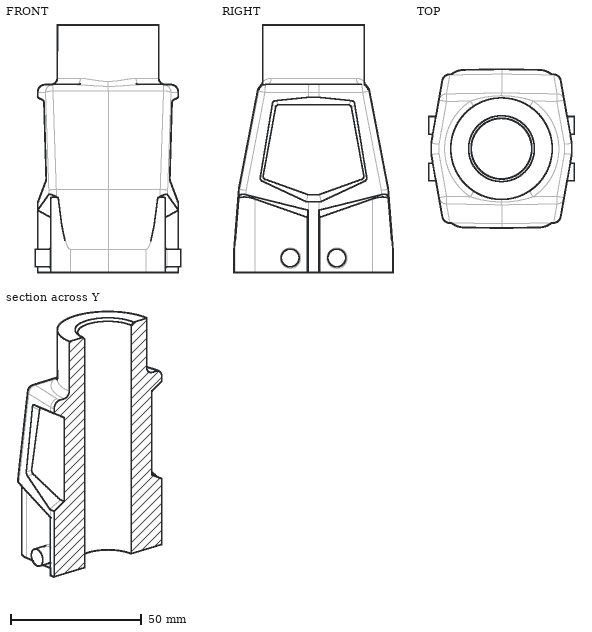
import cadquery as cq
import math

TOTAL_HEIGHT = 95.0
BODY_TOP = 72.1
END_TAPER_START = 9.0
END_TAPER_BREAK = 32.0

BASE_HALF_X = 22.0
BASE_HALF_Y = 30.5
BASE_CORNER_RADIUS = 7.7
BASE_TOP = 31.35
SHELL_BOTTOM = 11.4

BREAK_HALF_Y = 28.7
TOP_HALF_Y = 21.0
END_RIDGE_ANGLE = 1.0

RIDGE_HALF_X = 27.0
RIDGE_HALF_WIDTH = 2.1
RIB_DRAFT = 3.0
SIDE_ANGLE = 10.0
SHELL_RADIUS = 2.9

DRAFT_ANGLE = 30.0
UNDERCUT_MIDDLE_Z = 20.3
UNDERCUT_SLOPE = 0.35

RECESS_FLOOR_X = BASE_HALF_X
RECESS_TOP_Z = 64.3
RECESS_TOP_HALF_Y = 14.3
RECESS_CORNER_Z = 36.1
RECESS_CORNER_HALF_Y = 19.5
RECESS_BOTTOM_Z = 29.9
RECESS_BOTTOM_HALF_Y = 2.3
RECESS_CORNER_RADIUS = 1.5

NECK_RADIUS = 19.5
NECK_FILLET = 2.5
BORE_RADIUS = 11.6
BORE_CHAMFER = 1.0

PIN_RADIUS = 3.4
PIN_SPAN = 56.0
PIN_Y = 8.9
PIN_Z = 5.6
PIN_FILLET = 0.5

MARGIN = 9.5
RECESS_OVERSHOOT = 0.95
TOLERANCE = 0.01

end_slope = math.tan(math.radians(END_RIDGE_ANGLE))
side_slope = math.tan(math.radians(SIDE_ANGLE))
draft_slope = math.tan(math.radians(DRAFT_ANGLE))
rib_slope = math.tan(math.radians(RIB_DRAFT))
tool_reach = RIDGE_HALF_X + MARGIN


def sheared_prism(points, vector):
    """Extrude a closed polygon along any direction."""
    wire = cq.Wire.makePolygon([cq.Vector(*p) for p in points], close=True)
    return cq.Workplane(cq.Solid.extrudeLinear(wire, [], cq.Vector(*vector)))


def cut_end_walls(body):
    """Trim both ends to leaning walls with a faint vertical ridge in the middle."""
    slope = (BREAK_HALF_Y - TOP_HALF_Y) / (BODY_TOP - END_TAPER_BREAK)
    above = BODY_TOP + MARGIN
    outside = BASE_HALF_Y + MARGIN
    profile = [
        (0, BASE_HALF_Y, END_TAPER_START),
        (0, BREAK_HALF_Y, END_TAPER_BREAK),
        (0, TOP_HALF_Y - slope * MARGIN, above),
        (0, outside, above),
        (0, outside, END_TAPER_START),
    ]
    right = sheared_prism(profile, (tool_reach, -tool_reach * end_slope, 0))
    left = right.mirror("YZ")
    for tool in (right, left):
        body = body.cut(tool).cut(tool.mirror("XZ"))
    return body


def make_base():
    """Base block with rounded vertical corners."""
    corner_y = BASE_HALF_Y - BASE_HALF_X * end_slope
    outline = [
        (0, BASE_HALF_Y),
        (BASE_HALF_X, corner_y),
        (BASE_HALF_X, -corner_y),
        (0, -BASE_HALF_Y),
        (-BASE_HALF_X, -corner_y),
        (-BASE_HALF_X, corner_y),
    ]
    block = cq.Workplane("XY").polyline(outline).close().extrude(BASE_TOP)
    block = block.edges("|Z and (>X or <X)").fillet(BASE_CORNER_RADIUS)
    return cut_end_walls(block)


def make_shell():
    """Upper shell: ridged sides, leaning ends and rounded corners."""
    end_x = RIDGE_HALF_X - (BASE_HALF_Y - RIDGE_HALF_WIDTH) * side_slope
    quarter = [(RIDGE_HALF_X, RIDGE_HALF_WIDTH), (end_x, BASE_HALF_Y)]
    outline = quarter + [(-x, y) for x, y in reversed(quarter)]
    outline += [(-x, -y) for x, y in outline]
    shell = cq.Workplane("XY").workplane(offset=SHELL_BOTTOM).polyline(outline).close()
    shell = cut_end_walls(shell.extrude(BODY_TOP - SHELL_BOTTOM))

    def is_corner(edge):
        middle = edge.Center()
        return abs(middle.x) > RIDGE_HALF_X / 2 and abs(middle.y) > 2 * RIDGE_HALF_WIDTH

    corners = shell.edges("not #Z").filter(is_corner)
    return shell.faces(">Z").edges().add(corners).fillet(SHELL_RADIUS)


def cut_undercut(shell):
    """Remove the shell below two drafted planes on each side, meeting in a V."""
    end_y = BASE_HALF_Y + MARGIN
    end_z = UNDERCUT_MIDDLE_Z + UNDERCUT_SLOPE * end_y
    inner_drop = BASE_HALF_X * draft_slope
    profile = [
        (0, end_y, end_z - inner_drop),
        (0, 0, UNDERCUT_MIDDLE_Z - inner_drop),
        (0, -end_y, end_z - inner_drop),
        (0, -end_y, -TOTAL_HEIGHT),
        (0, end_y, -TOTAL_HEIGHT),
    ]
    tool = sheared_prism(profile, (tool_reach, 0, tool_reach * draft_slope))
    return shell.cut(tool).cut(tool.mirror("YZ"))


def make_rib():
    """Bar across the base that carries both side ridges down to the mating face."""
    root_half_width = RIDGE_HALF_WIDTH + (RIDGE_HALF_X - BASE_HALF_X) * rib_slope
    half = [
        (RIDGE_HALF_X, RIDGE_HALF_WIDTH),
        (BASE_HALF_X, root_half_width),
        (-BASE_HALF_X, root_half_width),
        (-RIDGE_HALF_X, RIDGE_HALF_WIDTH),
    ]
    outline = half + [(x, -y) for x, y in reversed(half)]
    return cq.Workplane("XY").polyline(outline).close().extrude(BASE_TOP)


def make_recess():
    """Tool for the recess in the +X side, its walls opening outwards."""
    half = [
        (RECESS_TOP_HALF_Y, RECESS_TOP_Z),
        (RECESS_CORNER_HALF_Y, RECESS_CORNER_Z),
        (RECESS_BOTTOM_HALF_Y, RECESS_BOTTOM_Z),
    ]
    outline = half + [(-y, z) for y, z in reversed(half)]
    depth = RIDGE_HALF_X - RECESS_FLOOR_X + RECESS_OVERSHOOT
    mouth = cq.Workplane("YZ", origin=(RECESS_FLOOR_X + depth, 0, 0)).polyline(outline).close()
    mouth = mouth.offset2D(depth * draft_slope, "intersection")
    tool = mouth.extrude(-depth, taper=DRAFT_ANGLE)

    def is_outer_corner(edge):
        return abs(edge.Center().y) > 2 * RECESS_BOTTOM_HALF_Y

    return tool.edges("not #X").filter(is_outer_corner).fillet(RECESS_CORNER_RADIUS)


def add_neck(body):
    """Round neck, filleted into the body top and its rounded edges."""
    neck = cq.Workplane("XY").workplane(offset=BASE_TOP).circle(NECK_RADIUS)
    body = body.union(neck.extrude(TOTAL_HEIGHT - BASE_TOP))

    def is_neck_root(edge):
        end = edge.startPoint()
        on_neck = abs(math.hypot(end.x, end.y) - NECK_RADIUS) < TOLERANCE
        near_body_top = abs(edge.Center().z - BODY_TOP) < SHELL_RADIUS
        return on_neck and near_body_top

    return body.edges().filter(is_neck_root).fillet(NECK_FILLET)


def cut_bore(body):
    """Bore right through, chamfered at the neck mouth."""
    body = body.faces(">Z").workplane().circle(BORE_RADIUS).cutThruAll()
    mouth = body.faces(">Z").edges(cq.selectors.RadiusNthSelector(0))
    return mouth.chamfer(BORE_CHAMFER)


def add_pins(body):
    """Two pins on each side, with a small fillet at the root."""
    for side in (1, -1):
        for y in (PIN_Y, -PIN_Y):
            pin = cq.Workplane("YZ", origin=(0, y, PIN_Z)).circle(PIN_RADIUS)
            body = body.union(pin.extrude(side * PIN_SPAN / 2))

    def is_pin_root(edge):
        if edge.geomType() != "CIRCLE":
            return False
        on_base_side = abs(abs(edge.Center().x) - BASE_HALF_X) < TOLERANCE
        return on_base_side and abs(edge.radius() - PIN_RADIUS) < TOLERANCE

    return body.edges().filter(is_pin_root).fillet(PIN_FILLET)


shell = cut_undercut(add_neck(make_shell()))
body = make_base().union(shell).union(make_rib())
recess = make_recess()
body = body.cut(recess).cut(recess.mirror("YZ"))
result = cut_bore(add_pins(body))